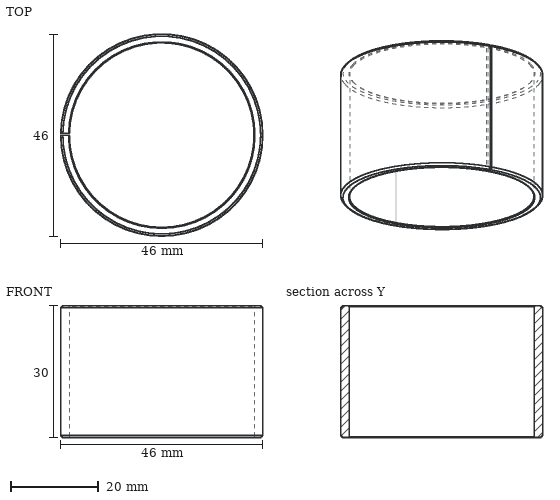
import cadquery as cq

outer_diameter = 46.0
bore_diameter = 42.0
length = 30.0
outer_chamfer = 0.5
bore_chamfer = 0.2
slit_width = 0.4

outer_radius = outer_diameter / 2
bore_radius = bore_diameter / 2
half_length = length / 2


def make_sleeve():
    """Revolve the wall section, with both ends chamfered inside and out."""
    wall_section = [
        (bore_radius, -half_length + bore_chamfer),
        (bore_radius + bore_chamfer, -half_length),
        (outer_radius - outer_chamfer, -half_length),
        (outer_radius, -half_length + outer_chamfer),
        (outer_radius, half_length - outer_chamfer),
        (outer_radius - outer_chamfer, half_length),
        (bore_radius + bore_chamfer, half_length),
        (bore_radius, half_length - bore_chamfer),
    ]
    return cq.Workplane("XZ").polyline(wall_section).close().revolve(360, (0, 0), (0, 1))


def make_slit():
    """Block through the -X wall, with one face on the XZ plane and its width toward +Y."""
    return (
        cq.Workplane("XY")
        .box(outer_diameter, slit_width, 2 * length, centered=(False, False, True))
        .translate((-outer_diameter, 0, 0))
    )


result = make_sleeve().cut(make_slit())